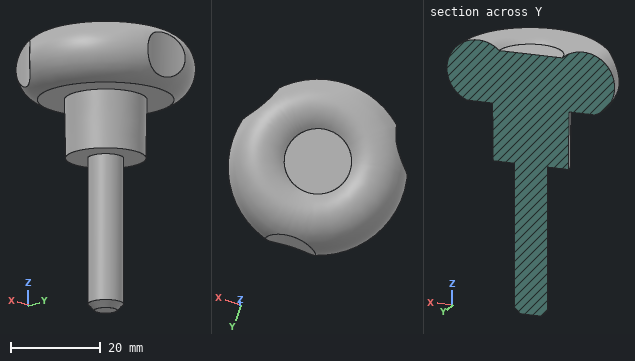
import cadquery as cq
import math

TOTAL_HEIGHT = 63.0
KNOB_DIAMETER = 40.0

RING_SECTION_RADIUS = 7.5
DISH_RADIUS = 7.5
KNOB_HEIGHT = 14.5

PIN_LENGTH = 35.0
NECK_TOP_DIAMETER = 18.4
NECK_BOTTOM_DIAMETER = 18.0

PIN_DIAMETER = 8.0
PIN_CHAMFER = 1.45

SCOOP_COUNT = 3
SCOOP_RADIUS = 16.0
SCOOP_FLOOR_DISTANCE = 18.0
FIRST_SCOOP_ANGLE = 90.0

knob_radius = KNOB_DIAMETER / 2
knob_bottom = TOTAL_HEIGHT - KNOB_HEIGHT
ring_center_radius = knob_radius - RING_SECTION_RADIUS
ring_center_height = TOTAL_HEIGHT - RING_SECTION_RADIUS


def half_chord(offset):
    """Half the chord of the ring section at a distance from its centre."""
    return math.sqrt(RING_SECTION_RADIUS**2 - offset**2)


def make_knob():
    """Rounded ring with a flat-bottomed dish on top and a flat underside."""
    dish_floor = ring_center_height + half_chord(ring_center_radius - DISH_RADIUS)
    underside_radius = ring_center_radius + half_chord(ring_center_height - knob_bottom)
    return (
        cq.Workplane("XZ")
        .moveTo(0, knob_bottom)
        .lineTo(underside_radius, knob_bottom)
        .threePointArc((knob_radius, ring_center_height), (DISH_RADIUS, dish_floor))
        .lineTo(0, dish_floor)
        .close()
        .revolve(360, (0, 0, 0), (0, 1, 0))
    )


def make_neck():
    """Slightly tapered neck, wider where it meets the knob."""
    return (
        cq.Workplane("XY", origin=(0, 0, PIN_LENGTH))
        .circle(NECK_BOTTOM_DIAMETER / 2)
        .workplane(offset=knob_bottom - PIN_LENGTH)
        .circle(NECK_TOP_DIAMETER / 2)
        .loft()
    )


def make_pin():
    """Straight pin with a chamfered tip."""
    return cq.Workplane("XY").circle(PIN_DIAMETER / 2).extrude(PIN_LENGTH).faces("<Z").chamfer(PIN_CHAMFER)


def make_scoops():
    """Upright cylinders that cut the finger scoops into the rim."""
    return (
        cq.Workplane("XY", origin=(0, 0, knob_bottom))
        .polarArray(SCOOP_FLOOR_DISTANCE + SCOOP_RADIUS, FIRST_SCOOP_ANGLE, 360, SCOOP_COUNT)
        .circle(SCOOP_RADIUS)
        .extrude(KNOB_HEIGHT)
    )


result = make_knob().cut(make_scoops()).union(make_neck()).union(make_pin())